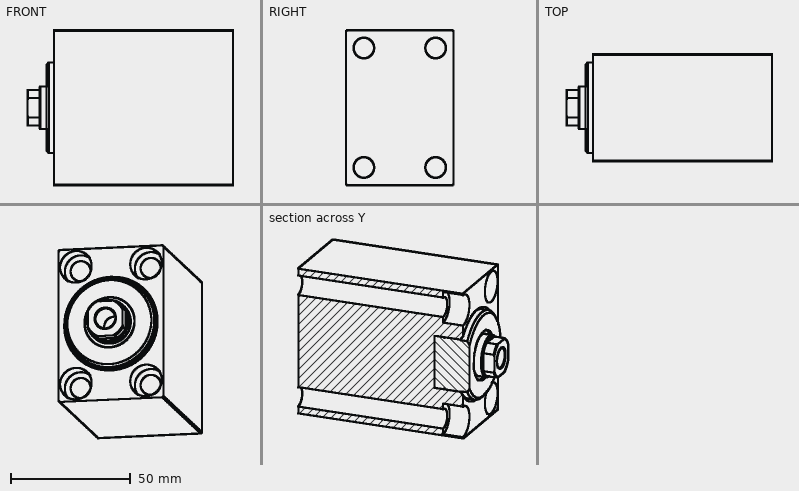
import cadquery as cq
import math

overall_length = 86.0
rod_projection = 11.0
block_length = overall_length - rod_projection
block_width = 45.0
block_height = 65.0
block_edge_chamfer = 0.5

hole_pitch_y = 30.0
hole_pitch_z = 50.0
hole_diameter = 8.5
counterbore_diameter = 13.5
counterbore_depth = 9.0

gland_diameter = 38.0
gland_projection = 3.0
gland_chamfer = 1.0
gland_depth = 12.9
bore_countersink = 1.0
wiper_recess_diameter = 21.4
wiper_recess_depth = 1.0

rod_diameter = 18.0
shoulder_projection = 6.0
shoulder_chamfer = 0.5
stud_diameter = rod_diameter - 2 * shoulder_chamfer
stud_chamfer = 0.3
flats_width = 15.0
tap_hole_diameter = 8.5
tap_hole_chamfer = 0.3
tap_hole_depth = 17.2
drill_point_angle = 118.0


def cylinder(start_x, end_x, diameter):
    """Cylinder on the X axis between two X positions."""
    return cq.Workplane("YZ", origin=(start_x, 0, 0)).circle(diameter / 2).extrude(end_x - start_x)


def cone(start_x, end_x, start_diameter, end_diameter):
    """Cone, pointed or cut off, on the X axis, narrowing from its start to its end."""
    solid = cq.Solid.makeCone(
        start_diameter / 2,
        end_diameter / 2,
        end_x - start_x,
        pnt=cq.Vector(start_x, 0, 0),
        dir=cq.Vector(1, 0, 0),
    )
    return cq.Workplane(obj=solid)


def drill_mounting_holes(block):
    """Cut the four counterbored holes through the block from its front face."""
    return (
        block.faces("<X")
        .workplane(centerOption="CenterOfBoundBox")
        .rarray(hole_pitch_y, hole_pitch_z, 2, 2)
        .cboreHole(hole_diameter, counterbore_diameter, counterbore_depth)
    )


def make_housing():
    """Block with mounting holes and a blind, countersunk bore for the gland and rod."""
    block = cq.Workplane("XY").box(block_length, block_width, block_height, centered=(False, True, True))
    block = block.edges("|X").chamfer(block_edge_chamfer)
    block = drill_mounting_holes(block)
    bore = cylinder(0, gland_depth, gland_diameter)
    countersink = cone(0, bore_countersink, gland_diameter + 2 * bore_countersink, gland_diameter)
    return block.cut(bore).cut(countersink)


def make_gland():
    """Disc with a chamfered front rim, a rod bore and a shallow recess around the rod."""
    front_x = -gland_projection
    disc = cylinder(front_x, gland_depth, gland_diameter).faces("<X").edges().chamfer(gland_chamfer)
    rod_bore = cylinder(front_x, gland_depth, rod_diameter)
    wiper_recess = cylinder(front_x, front_x + wiper_recess_depth, wiper_recess_diameter)
    return disc.cut(rod_bore).cut(wiper_recess)


def make_stud():
    """Rod end: a chamfered cylinder cut down to four flats."""
    stud_length = rod_projection - shoulder_projection
    stud = cylinder(-rod_projection, -shoulder_projection, stud_diameter)
    stud = stud.faces("<X").edges().chamfer(stud_chamfer)
    end_plane = cq.Workplane("YZ", origin=(-rod_projection, 0, 0))
    flats = end_plane.rect(flats_width, flats_width).extrude(stud_length)
    return stud.intersect(flats)


def make_tap_hole():
    """Cutter for the end hole of the rod, with a chamfered mouth and a drill point."""
    mouth_x = -rod_projection
    floor_x = mouth_x + tap_hole_depth
    point_length = tap_hole_diameter / 2 / math.tan(math.radians(drill_point_angle / 2))
    straight = cylinder(mouth_x, floor_x, tap_hole_diameter)
    point = cone(floor_x, floor_x + point_length, tap_hole_diameter, 0)
    mouth_diameter = tap_hole_diameter + 2 * tap_hole_chamfer
    mouth = cone(mouth_x, mouth_x + tap_hole_chamfer, mouth_diameter, tap_hole_diameter)
    return straight.union(point).union(mouth)


def make_rod():
    """Rod with a chamfered shoulder, a stud with flats and a blind end hole."""
    shaft = cylinder(-shoulder_projection, gland_depth, rod_diameter)
    shaft = shaft.faces("<X").edges().chamfer(shoulder_chamfer)
    return shaft.union(make_stud()).cut(make_tap_hole())


housing = make_housing()
gland = make_gland()
rod = make_rod()

result = cq.Compound.makeCompound([housing.val(), gland.val(), rod.val()])